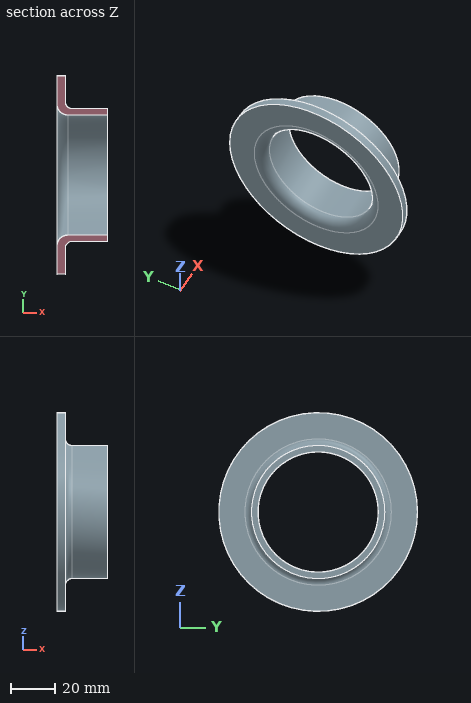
import cadquery as cq

flange_diameter = 90.0
tube_outer_diameter = 60.3
bore_diameter = 54.3
total_length = 23.0
flange_thickness = 4.0
mouth_radius = 5.0
root_fillet = 3.0

flange_radius = flange_diameter / 2
tube_outer_radius = tube_outer_diameter / 2
bore_radius = bore_diameter / 2

half_section = (
    cq.Workplane("XY")
    .moveTo(0, bore_radius + mouth_radius)
    .lineTo(0, flange_radius)
    .lineTo(flange_thickness, flange_radius)
    .lineTo(flange_thickness, tube_outer_radius + root_fillet)
    .tangentArcPoint((root_fillet, -root_fillet))
    .lineTo(total_length, tube_outer_radius)
    .lineTo(total_length, bore_radius)
    .lineTo(mouth_radius, bore_radius)
    .tangentArcPoint((-mouth_radius, mouth_radius))
    .close()
)

result = half_section.revolve(360, (0, 0, 0), (1, 0, 0))